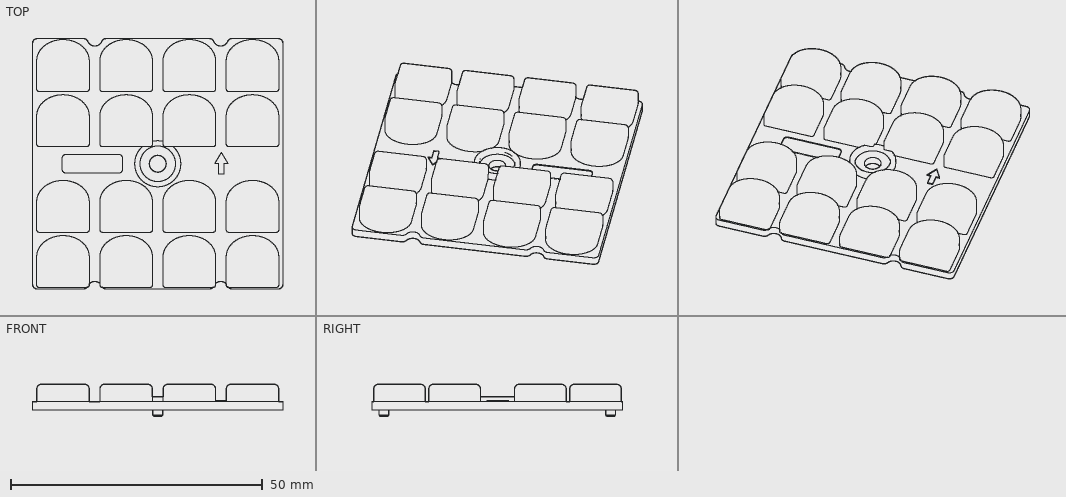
import cadquery as cq
import math

PLATE_SIZE = 49.8
PLATE_THICKNESS = 1.7
PLATE_CORNER_RADIUS = 1.0

NOTCH_X = 12.5
NOTCH_RADIUS = 1.5
NOTCH_BLEND_RADIUS = 1.0

PAD_WIDTH = 10.45
PAD_LENGTH = 10.3
PAD_HEIGHT = 3.5
PAD_STRAIGHT_LENGTH = 6.1
PAD_DOME_LENGTH = PAD_LENGTH - PAD_STRAIGHT_LENGTH
PAD_TOP_FILLET = 1.0
PAD_CORNER_RADIUS = 0.5
PAD_PITCH_X = 12.55
PAD_COLUMNS = 4
PAD_ROW_INNER_Y = 8.5
PAD_ROW_OUTER_Y = 19.45
PAD_ARRAY_SHIFT_Y = 0.05

RING_OUTER_RADIUS = 4.6
RING_INNER_RADIUS = 3.55
RING_HEIGHT = 1.0
RING_EDGE_FILLET = 0.25
HOLE_RADIUS = 1.65

LABEL_LENGTH = 12.05
LABEL_WIDTH = 3.7
LABEL_CORNER_RADIUS = 0.8
LABEL_DEPTH = 0.2
LABEL_X = -13.0

ARROW_X = 12.65
ARROW_TIP_Y = 2.25
ARROW_HEAD_BASE_Y = 0.1
ARROW_TAIL_Y = -2.05
ARROW_HEAD_WIDTH = 2.6
ARROW_SHAFT_WIDTH = 1.1
ARROW_HEIGHT = 0.2

PEG_RADIUS = 1.0
PEG_LENGTH = 1.25
PEG_TIP_CHAMFER = 0.25
PEG_Y = 22.5


def make_notch_cutter(x, side):
    """Notch centred on a plate edge; side is +1 for the +Y edge and -1 for the -Y edge."""
    edge_y = side * PLATE_SIZE / 2
    centre_distance = NOTCH_RADIUS + NOTCH_BLEND_RADIUS
    mouth_half = math.sqrt(centre_distance**2 - NOTCH_BLEND_RADIUS**2)
    touch_ratio = NOTCH_RADIUS / centre_distance
    touch_half = mouth_half * touch_ratio
    touch_depth = NOTCH_BLEND_RADIUS * touch_ratio
    blend_half_angle = math.acos(NOTCH_BLEND_RADIUS / centre_distance) / 2
    blend_half = mouth_half - NOTCH_BLEND_RADIUS * math.sin(blend_half_angle)
    blend_depth = NOTCH_BLEND_RADIUS * (1 - math.cos(blend_half_angle))

    def at(offset, depth):
        return (x + offset, edge_y - side * depth)

    return (
        cq.Workplane("XY")
        .moveTo(*at(-mouth_half, 0))
        .threePointArc(at(-blend_half, blend_depth), at(-touch_half, touch_depth))
        .threePointArc(at(0, NOTCH_RADIUS), at(touch_half, touch_depth))
        .threePointArc(at(blend_half, blend_depth), at(mouth_half, 0))
        .close()
        .extrude(PLATE_THICKNESS)
    )


def make_plate():
    plate = (
        cq.Workplane("XY")
        .rect(PLATE_SIZE, PLATE_SIZE)
        .extrude(PLATE_THICKNESS)
        .edges("|Z")
        .fillet(PLATE_CORNER_RADIUS)
    )
    for x in (-NOTCH_X, NOTCH_X):
        for side in (-1, 1):
            plate = plate.cut(make_notch_cutter(x, side))
    return plate


def make_pad():
    """Pad centred on the origin, standing on the plate, with its half-elliptical end toward +Y."""
    half_width = PAD_WIDTH / 2
    half_length = PAD_LENGTH / 2
    dome_start_y = half_length - PAD_DOME_LENGTH
    return (
        cq.Workplane("XY")
        .workplane(offset=PLATE_THICKNESS)
        .moveTo(-half_width, -half_length)
        .lineTo(half_width, -half_length)
        .lineTo(half_width, dome_start_y)
        .ellipseArc(half_width, PAD_DOME_LENGTH, 0, 180, startAtCurrent=True)
        .close()
        .extrude(PAD_HEIGHT)
        .edges("|Z and <Y")
        .fillet(PAD_CORNER_RADIUS)
        .faces(">Z")
        .edges()
        .fillet(PAD_TOP_FILLET)
    )


def make_ring():
    return (
        cq.Workplane("XY")
        .workplane(offset=PLATE_THICKNESS)
        .circle(RING_OUTER_RADIUS)
        .circle(RING_INNER_RADIUS)
        .extrude(RING_HEIGHT)
        .faces(">Z")
        .edges()
        .fillet(RING_EDGE_FILLET)
    )


def make_label_recess():
    return (
        cq.Workplane("XY")
        .workplane(offset=PLATE_THICKNESS - LABEL_DEPTH)
        .center(LABEL_X, 0)
        .rect(LABEL_LENGTH, LABEL_WIDTH)
        .extrude(LABEL_DEPTH)
        .edges("|Z")
        .fillet(LABEL_CORNER_RADIUS)
    )


def make_arrow():
    half_head = ARROW_HEAD_WIDTH / 2
    half_shaft = ARROW_SHAFT_WIDTH / 2
    return (
        cq.Workplane("XY")
        .workplane(offset=PLATE_THICKNESS)
        .center(ARROW_X, 0)
        .moveTo(0, ARROW_TIP_Y)
        .lineTo(half_head, ARROW_HEAD_BASE_Y)
        .lineTo(half_shaft, ARROW_HEAD_BASE_Y)
        .lineTo(half_shaft, ARROW_TAIL_Y)
        .lineTo(-half_shaft, ARROW_TAIL_Y)
        .lineTo(-half_shaft, ARROW_HEAD_BASE_Y)
        .lineTo(-half_head, ARROW_HEAD_BASE_Y)
        .close()
        .extrude(ARROW_HEIGHT)
    )


def make_pegs():
    return (
        cq.Workplane("XY")
        .pushPoints([(0, -PEG_Y), (0, PEG_Y)])
        .circle(PEG_RADIUS)
        .extrude(-PEG_LENGTH)
        .faces("<Z")
        .edges()
        .chamfer(PEG_TIP_CHAMFER)
    )


result = make_plate().union(make_ring()).union(make_arrow()).union(make_pegs())

pad = make_pad()
for column in range(PAD_COLUMNS):
    pad_x = (column - (PAD_COLUMNS - 1) / 2) * PAD_PITCH_X
    for pad_y in (-PAD_ROW_OUTER_Y, -PAD_ROW_INNER_Y, PAD_ROW_INNER_Y, PAD_ROW_OUTER_Y):
        result = result.union(pad.translate((pad_x, pad_y + PAD_ARRAY_SHIFT_Y, 0)))

central_hole = cq.Workplane("XY").circle(HOLE_RADIUS).extrude(PLATE_THICKNESS)
result = result.cut(central_hole).cut(make_label_recess())